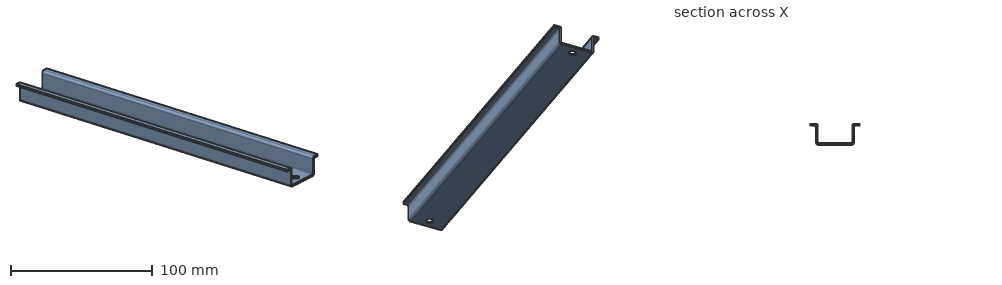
import cadquery as cq

length = 243.0
rail_width = 35.0
rail_height = 15.0
sheet = 1.5

channel_width = 27.0
wall_out = channel_width / 2
wall_in = wall_out - sheet
lip_under = rail_height - sheet

floor_bend_inner = 0.5
floor_bend_outer = floor_bend_inner + sheet
lip_bend_inner = 0.8
lip_bend_outer = 1.8

match_tolerance = 1e-6

hole_diameter = 5.5
hole_spacing = 230.0


def hat_section():
    """Closed hat profile in the YZ plane, centred on Y, floor underside at Z = 0."""
    rim = rail_width / 2
    outline = [
        (-wall_out, 0),
        (wall_out, 0),
        (wall_out, lip_under),
        (rim, lip_under),
        (rim, rail_height),
        (wall_in, rail_height),
        (wall_in, sheet),
        (-wall_in, sheet),
        (-wall_in, rail_height),
        (-rim, rail_height),
        (-rim, lip_under),
        (-wall_out, lip_under),
    ]
    return cq.Workplane("YZ").polyline(outline).close()


def bend_edges(body, y, z):
    """Lengthwise edges at +/-y and height z."""
    matches = []
    for edge in body.edges("|X").vals():
        middle = edge.Center()
        same_y = abs(abs(middle.y) - y) < match_tolerance
        same_z = abs(middle.z - z) < match_tolerance
        if same_y and same_z:
            matches.append(edge)
    return matches


def round_bends(body):
    """Round both faces of the sheet at each lengthwise bend."""
    bends = [
        (wall_out, 0, floor_bend_outer),
        (wall_in, sheet, floor_bend_inner),
        (wall_out, lip_under, lip_bend_inner),
        (wall_in, rail_height, lip_bend_outer),
    ]
    for y, z, radius in bends:
        body = body.newObject(bend_edges(body, y, z)).fillet(radius)
    return body


def drill_mounting_holes(body):
    """Through holes in the floor near both ends."""
    holes = (
        cq.Workplane("XY")
        .pushPoints([(-hole_spacing / 2, 0), (hole_spacing / 2, 0)])
        .circle(hole_diameter / 2)
        .extrude(rail_height)
    )
    return body.cut(holes)


rail = hat_section().extrude(length / 2, both=True)
rail = round_bends(rail)
result = drill_mounting_holes(rail)